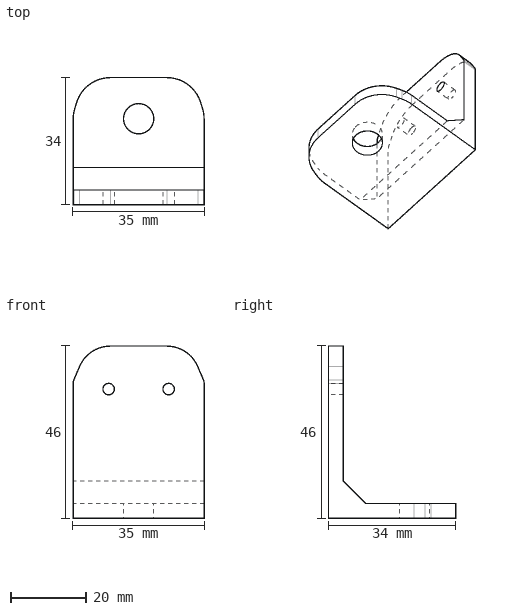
import cadquery as cq
import math

WIDTH = 35.0
HEIGHT = 46.0
DEPTH = 34.0
THICKNESS = 4.0
HALF_WIDTH = WIDTH / 2

END_HALF_FLAT = 7.5
WALL_END_RADIUS = 9.0
WALL_SIDE_RADIUS = 2.5
WALL_SHOULDER_DROP = 10.0
BASE_END_RADIUS = 9.5
BASE_SIDE_RADIUS = 10.0
BASE_SHOULDER_DROP = 11.2

GUSSET_LEG = 10.0

WALL_HOLE_DIAMETER = 3.0
WALL_HOLE_SPACING = 16.0
WALL_HOLE_HEIGHT = 34.5
BASE_HOLE_DIAMETER = 8.0
BASE_HOLE_Y = 23.0


def point_on_circle(center, radius, angle):
    """Point at an angle measured from the plate's length direction towards its side."""
    return (center[0] + radius * math.sin(angle), center[1] + radius * math.cos(angle))


def mirrored(point):
    return (-point[0], point[1])


def plate_outline(plane, length, end_radius, side_radius, shoulder_drop):
    """Plate from 0 to length whose end arcs and side arcs are joined by their common tangent lines."""
    end_center = (END_HALF_FLAT, length - end_radius)
    side_center = (HALF_WIDTH - side_radius, length - shoulder_drop)
    across = side_center[0] - end_center[0]
    along = side_center[1] - end_center[1]

    center_direction = math.atan2(across, along)
    offset_angle = math.acos((end_radius - side_radius) / math.hypot(across, along))
    tangent_angle = center_direction - offset_angle

    end_start = (END_HALF_FLAT, length)
    end_middle = point_on_circle(end_center, end_radius, tangent_angle / 2)
    end_finish = point_on_circle(end_center, end_radius, tangent_angle)
    side_start = point_on_circle(side_center, side_radius, tangent_angle)
    side_middle = point_on_circle(side_center, side_radius, (tangent_angle + math.pi / 2) / 2)
    side_finish = (HALF_WIDTH, side_center[1])

    return (
        cq.Workplane(plane)
        .moveTo(-HALF_WIDTH, 0)
        .lineTo(HALF_WIDTH, 0)
        .lineTo(*side_finish)
        .threePointArc(side_middle, side_start)
        .lineTo(*end_finish)
        .threePointArc(end_middle, end_start)
        .lineTo(*mirrored(end_start))
        .threePointArc(mirrored(end_middle), mirrored(end_finish))
        .lineTo(*mirrored(side_start))
        .threePointArc(mirrored(side_middle), mirrored(side_finish))
        .close()
    )


def make_wall():
    outline = plate_outline("XZ", HEIGHT, WALL_END_RADIUS, WALL_SIDE_RADIUS, WALL_SHOULDER_DROP)
    wall = outline.extrude(-THICKNESS)
    hole_x = WALL_HOLE_SPACING / 2
    holes = (
        cq.Workplane("XZ")
        .pushPoints([(-hole_x, WALL_HOLE_HEIGHT), (hole_x, WALL_HOLE_HEIGHT)])
        .circle(WALL_HOLE_DIAMETER / 2)
        .extrude(-THICKNESS)
    )
    return wall.cut(holes)


def make_base():
    outline = plate_outline("XY", DEPTH, BASE_END_RADIUS, BASE_SIDE_RADIUS, BASE_SHOULDER_DROP)
    base = outline.extrude(THICKNESS)
    hole = (
        cq.Workplane("XY")
        .center(0, BASE_HOLE_Y)
        .circle(BASE_HOLE_DIAMETER / 2)
        .extrude(THICKNESS)
    )
    return base.cut(hole)


def make_gusset():
    return (
        cq.Workplane("YZ", origin=(-HALF_WIDTH, 0, 0))
        .moveTo(THICKNESS, 0)
        .lineTo(THICKNESS + GUSSET_LEG, 0)
        .lineTo(THICKNESS, GUSSET_LEG)
        .close()
        .extrude(WIDTH)
    )


result = make_wall().union(make_base()).union(make_gusset())